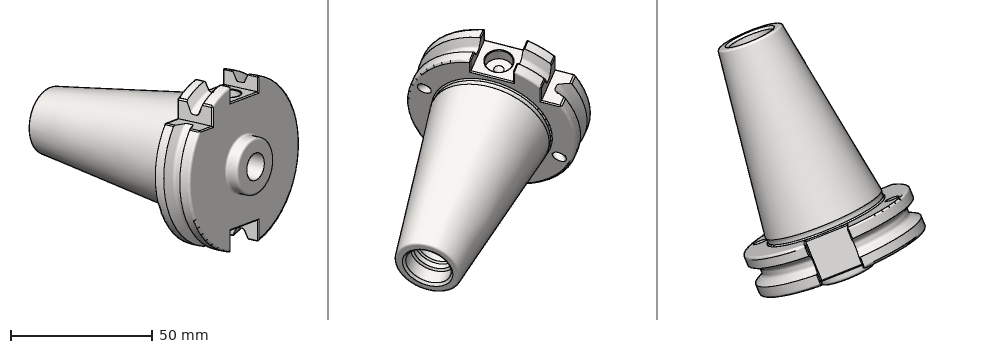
import cadquery as cq
import math

TAPER_LENGTH = 69.0
TAPER_SLOPE = 7 / 48
TAPER_END_RADIUS = 12.3
TAPER_END_ROUND = 0.9
TAPER_LARGE_RADIUS = TAPER_END_RADIUS + TAPER_SLOPE * TAPER_LENGTH

NECK_RADIUS = 22.1
NECK_START = 70.1
NECK_ROUND = 0.6

FLANGE_START = 71.6
FLANGE_WIDTH = 15.9
FLANGE_END = FLANGE_START + FLANGE_WIDTH
FLANGE_RADIUS = 31.8
FLANGE_ROUND = 0.9

GROOVE_CENTRE = 79.5
GROOVE_TOP_WIDTH = 7.2
GROOVE_FLOOR_RADIUS = 28.2
GROOVE_ROUND = 1.2
GROOVE_HALF_ANGLE = 30
GROOVE_DEPTH = FLANGE_RADIUS - GROOVE_FLOOR_RADIUS
GROOVE_FLOOR_WIDTH = GROOVE_TOP_WIDTH - 2 * GROOVE_DEPTH * math.tan(math.radians(GROOVE_HALF_ANGLE))

SLOT_WIDTH = 15.9
TOP_SLOT_FLOOR = 24.9
BOTTOM_SLOT_FLOOR = 22.7
NOTCH_OFFSET = 18.5
SLOT_CHAMFER = 0.5
TOLERANCE = 0.01

TOTAL_LENGTH = 92.4
BOSS_RADIUS = 10.5
BOSS_ROUND = 0.9
BOSS_ROOT_ROUND = 0.8

MOUTH_RADIUS = 8.5
MOUTH_CHAMFER = 0.9
MOUTH_DEPTH = 6.5
MOUTH_STEP = 0.6
RELIEF_END = 9.2
RELIEF_RADIUS = 7.6
CORE_RADIUS = 6.9
CORE_DEPTH = 80.4
THROUGH_RADIUS = 5.1
DRILL_HALF_ANGLE = 59

CHIP_X = GROOVE_CENTRE
CHIP_RADIUS = 5.1
CHIP_DEPTH = 4.6
CHIP_CHAMFER = 0.3
CHIP_DIMPLE_RADIUS = 1.85

COOLANT_ANGLE = 20
COOLANT_MOUTH_OFFSET = 26.9
COOLANT_RADIUS = 2.1
COOLANT_TILT = 37
COOLANT_ELBOW_OFFSET = 20.3
COOLANT_BORE_RADIUS = 1.85
COOLANT_ELBOW_X = FLANGE_START + (COOLANT_MOUTH_OFFSET - COOLANT_ELBOW_OFFSET) / math.tan(
    math.radians(COOLANT_TILT)
)


def cone_height(large_radius, small_radius):
    """Axial length of a drill-point cone between two radii."""
    return (large_radius - small_radius) / math.tan(math.radians(DRILL_HALF_ANGLE))


def revolve_x(outline):
    """Revolve a closed XY outline around the X axis."""
    return outline.close().revolve(360, (0, 0, 0), (1, 0, 0))


def make_shank():
    """Taper with a rounded small end, and the neck up to the flange."""
    outline = (
        cq.Workplane("XY")
        .lineTo(0, TAPER_END_RADIUS)
        .lineTo(TAPER_LENGTH, TAPER_LARGE_RADIUS)
        .lineTo(NECK_START, NECK_RADIUS)
        .lineTo(FLANGE_START - NECK_ROUND, NECK_RADIUS)
        .radiusArc((FLANGE_START, NECK_RADIUS + NECK_ROUND), NECK_ROUND)
        .lineTo(FLANGE_START, 0)
    )
    return revolve_x(outline).faces("<X").edges().fillet(TAPER_END_ROUND)


def make_boss():
    """Pilot boss with a filleted root and rounded end."""
    root_radius = BOSS_RADIUS + BOSS_ROOT_ROUND
    outline = (
        cq.Workplane("XY")
        .moveTo(FLANGE_END, 0)
        .lineTo(FLANGE_END, root_radius)
        .radiusArc((FLANGE_END + BOSS_ROOT_ROUND, BOSS_RADIUS), -BOSS_ROOT_ROUND)
        .lineTo(TOTAL_LENGTH, BOSS_RADIUS)
        .lineTo(TOTAL_LENGTH, 0)
    )
    return revolve_x(outline).faces(">X").edges().fillet(BOSS_ROUND)


def make_disc():
    """Plain flange blank."""
    return cq.Workplane("YZ", (FLANGE_START, 0, 0)).circle(FLANGE_RADIUS).extrude(FLANGE_WIDTH)


def make_rim_envelope():
    """Flange disc with rounded rims and the V groove."""
    disc = make_disc()
    disc = disc.faces("<X or >X").edges().fillet(FLANGE_ROUND)
    groove = revolve_x(
        cq.Workplane("XY")
        .moveTo(GROOVE_CENTRE - GROOVE_TOP_WIDTH / 2, FLANGE_RADIUS)
        .lineTo(GROOVE_CENTRE - GROOVE_FLOOR_WIDTH / 2, GROOVE_FLOOR_RADIUS)
        .lineTo(GROOVE_CENTRE + GROOVE_FLOOR_WIDTH / 2, GROOVE_FLOOR_RADIUS)
        .lineTo(GROOVE_CENTRE + GROOVE_TOP_WIDTH / 2, FLANGE_RADIUS)
    )
    floor_edges = cq.selectors.RadiusNthSelector(0)
    return disc.cut(groove.edges(floor_edges).fillet(GROOVE_ROUND))


def make_flange():
    """Disc with chamfered slots and notch, trimmed to the grooved rim."""
    disc = make_disc()
    reach = 2 * FLANGE_RADIUS

    def cutter(y_min, z_min, y_size, z_size):
        return cq.Workplane("XY").box(FLANGE_WIDTH, y_size, z_size, centered=False).translate(
            (FLANGE_START, y_min, z_min)
        )

    disc = disc.cut(cutter(-SLOT_WIDTH / 2, TOP_SLOT_FLOOR, SLOT_WIDTH, reach))
    disc = disc.cut(cutter(-SLOT_WIDTH / 2, -BOTTOM_SLOT_FLOOR - reach, SLOT_WIDTH, reach))
    disc = disc.cut(cutter(-NOTCH_OFFSET - reach, NOTCH_OFFSET, reach, reach))

    def on_rim(edge):
        centre = edge.Center()
        on_surface = math.hypot(centre.y, centre.z) > FLANGE_RADIUS - TOLERANCE
        return on_surface and abs(centre.z) > TOLERANCE

    face_edges = disc.edges("|Y or |Z").vals()
    rim_edges = [edge for edge in disc.edges("|X").vals() if on_rim(edge)]
    disc = disc.newObject(face_edges + rim_edges).chamfer(SLOT_CHAMFER)
    return disc.intersect(make_rim_envelope())


def make_bore():
    """Stepped bore through the whole length."""
    relief_chamfer = RELIEF_RADIUS - CORE_RADIUS
    outline = (
        cq.Workplane("XY")
        .lineTo(0, MOUTH_RADIUS + MOUTH_CHAMFER)
        .lineTo(MOUTH_CHAMFER, MOUTH_RADIUS)
        .lineTo(MOUTH_DEPTH, MOUTH_RADIUS)
        .lineTo(MOUTH_DEPTH + MOUTH_STEP, RELIEF_RADIUS)
        .lineTo(RELIEF_END, RELIEF_RADIUS)
        .lineTo(RELIEF_END + relief_chamfer, CORE_RADIUS)
        .lineTo(CORE_DEPTH, CORE_RADIUS)
        .lineTo(CORE_DEPTH + cone_height(CORE_RADIUS, THROUGH_RADIUS), THROUGH_RADIUS)
        .lineTo(TOTAL_LENGTH, THROUGH_RADIUS)
        .lineTo(TOTAL_LENGTH, 0)
    )
    return revolve_x(outline)


def make_chip_pocket():
    """Flat round pocket with a conical dimple, along Z."""
    floor = TOP_SLOT_FLOOR - CHIP_DEPTH
    dimple_tip = floor - cone_height(CHIP_DIMPLE_RADIUS, 0)
    return (
        cq.Workplane("XZ")
        .moveTo(0, dimple_tip)
        .lineTo(CHIP_DIMPLE_RADIUS, floor)
        .lineTo(CHIP_RADIUS, floor)
        .lineTo(CHIP_RADIUS, TOP_SLOT_FLOOR - CHIP_CHAMFER)
        .lineTo(CHIP_RADIUS + CHIP_CHAMFER, TOP_SLOT_FLOOR)
        .lineTo(0, TOP_SLOT_FLOOR)
        .close()
        .revolve(360, (0, 0, 0), (0, 1, 0))
        .translate((CHIP_X, 0, 0))
    )


def make_coolant_channel(angle):
    """Tilted hole from the flange face to an elbow, then a radial hole into the bore."""
    tilt = math.radians(COOLANT_TILT)
    drill = cq.Vector(math.cos(tilt), -math.sin(tilt), 0)
    elbow = cq.Vector(COOLANT_ELBOW_X, COOLANT_ELBOW_OFFSET, 0)
    inlet_length = (COOLANT_MOUTH_OFFSET - COOLANT_ELBOW_OFFSET) / math.sin(tilt)
    overrun = 2 * COOLANT_RADIUS
    start = elbow - drill * (inlet_length + overrun)
    inlet = cq.Solid.makeCylinder(COOLANT_RADIUS, inlet_length + overrun, start, drill)
    outlet = cq.Solid.makeCylinder(COOLANT_BORE_RADIUS, COOLANT_ELBOW_OFFSET, elbow, cq.Vector(0, -1, 0))
    channel = cq.Workplane(inlet).union(cq.Workplane(outlet))
    return channel.rotate((0, 0, 0), (1, 0, 0), angle)


result = make_shank().union(make_flange()).union(make_boss())
result = result.cut(make_bore()).cut(make_chip_pocket())
for side in (0, 180):
    result = result.cut(make_coolant_channel(COOLANT_ANGLE + side))